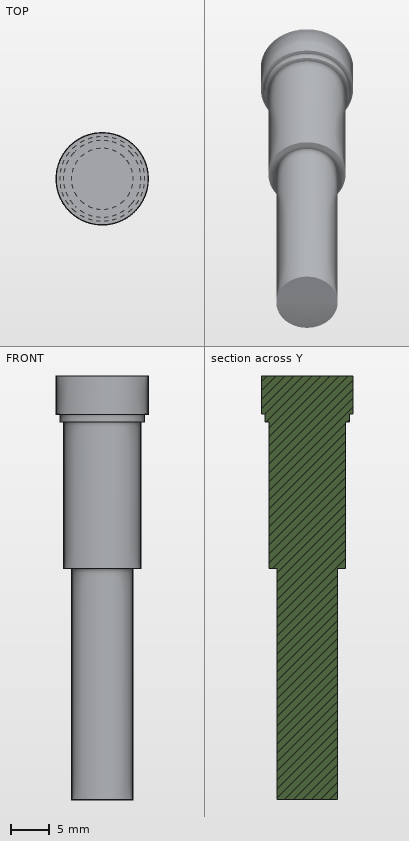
import cadquery as cq

total_length = 55.0
head_length = 5.0
collar_length = 1.0
body_length = 19.05
shank_length = total_length - head_length - collar_length - body_length

head_diameter = 12.0
collar_diameter = 11.0
body_diameter = 10.0
shank_diameter = 8.0

steps = [
    (shank_diameter, shank_length),
    (body_diameter, body_length),
    (collar_diameter, collar_length),
    (head_diameter, head_length),
]

result = cq.Workplane("XY")
base_height = 0.0
for diameter, length in steps:
    step = cq.Workplane("XY", origin=(0, 0, base_height)).circle(diameter / 2).extrude(length)
    result = result.add(step)
    base_height += length
result = result.combine()